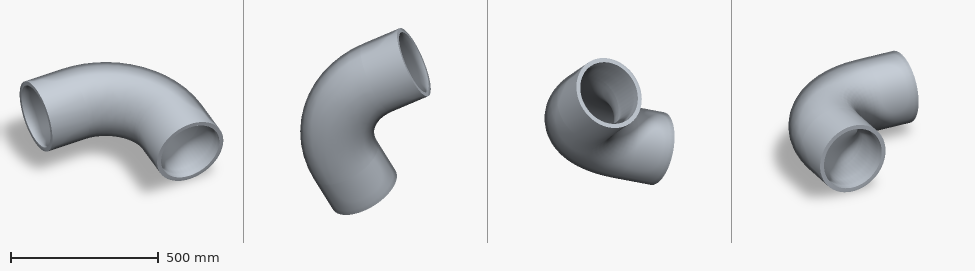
import cadquery as cq

overall_length = 514.0
outer_diameter = 250.0
wall = 15.0
bend_radius = outer_diameter
bend_angle = 90

outer_radius = outer_diameter / 2
bore_radius = outer_radius - wall
spigot_length = overall_length - bend_radius - outer_radius

front_end = cq.Plane(origin=(-bend_radius, 0, 0), xDir=(1, 0, 0), normal=(0, -1, 0))
side_end = cq.Plane(origin=(0, bend_radius, 0), xDir=(0, 1, 0), normal=(1, 0, 0))


def pipe_ring(end_plane):
    """Annular pipe section centred on one end of the bend."""
    return cq.Workplane(end_plane).circle(outer_radius).circle(bore_radius)


def bend():
    """Quarter turn from the front end to the side end, clockwise seen from +Z."""
    axis_start = (bend_radius, 0, 0)
    axis_end = (bend_radius, -1, 0)
    return pipe_ring(front_end).revolve(bend_angle, axis_start, axis_end)


def spigot(end_plane):
    """Straight pipe leading away from one end of the bend."""
    return pipe_ring(end_plane).extrude(spigot_length)


result = bend()
for end_plane in (front_end, side_end):
    result = result.union(spigot(end_plane))